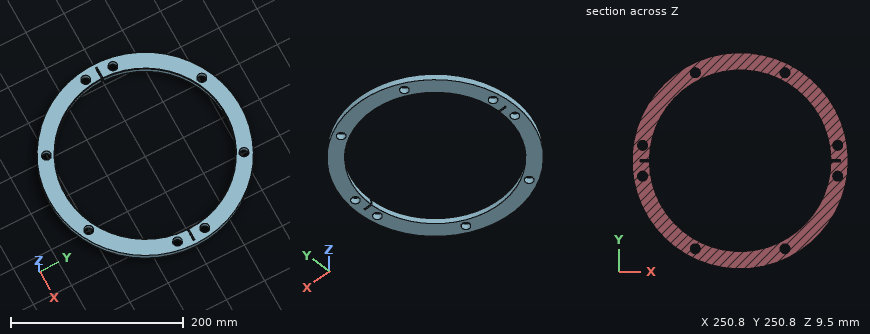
import cadquery as cq
import math

outer_diameter = 250.8
thickness = 9.5
bore_diameter = 209.7
bore_chamfer = 0.8

hole_diameter = 11.0
bolt_circle_radius = 114.4
hole_angles = (9.0, 63.0)

slot_width = 1.8
slot_bottom_reach = 115.6
slot_top_reach = 120.5
slot_slope_start = thickness / 2


def make_ring():
    ring = cq.Workplane("XY").circle(outer_diameter / 2).circle(bore_diameter / 2).extrude(thickness)
    bore_rim = cq.selectors.RadiusNthSelector(0)
    return ring.faces(">Z").edges(bore_rim).chamfer(bore_chamfer)


def make_bolt_holes():
    centers = []
    for angle in hole_angles:
        x = bolt_circle_radius * math.cos(math.radians(angle))
        y = bolt_circle_radius * math.sin(math.radians(angle))
        centers += [(x, y), (-x, y), (-x, -y), (x, -y)]
    return cq.Workplane("XY").pushPoints(centers).circle(hole_diameter / 2).extrude(thickness)


def make_slots():
    """One flared blade across the bore cuts both slots."""
    profile = [
        (-slot_bottom_reach, 0),
        (slot_bottom_reach, 0),
        (slot_bottom_reach, slot_slope_start),
        (slot_top_reach, thickness),
        (-slot_top_reach, thickness),
        (-slot_bottom_reach, slot_slope_start),
    ]
    return cq.Workplane("XZ").polyline(profile).close().extrude(slot_width / 2, both=True)


result = make_ring().cut(make_bolt_holes()).cut(make_slots())